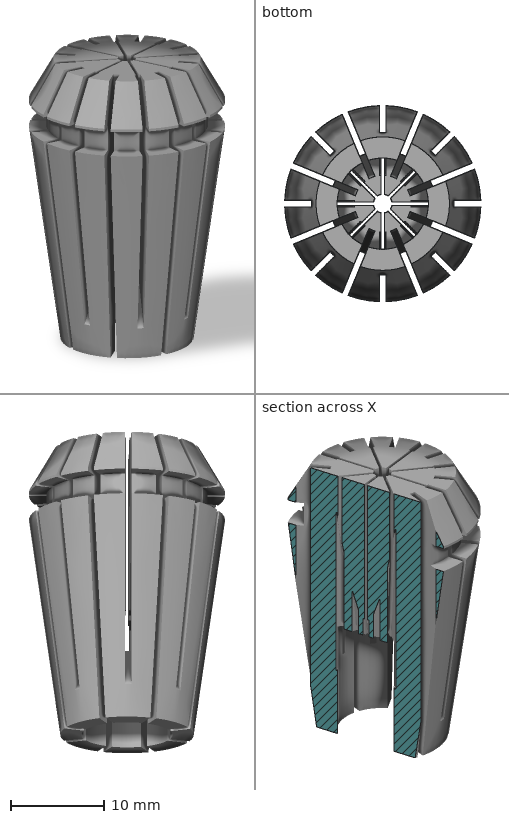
import cadquery as cq
import math


height = 31.5
rim_radius = 21.0 / 2
taper_angle = 8.0
groove_bottom = 23.9
groove_top = 26.65
groove_radius = 8.63
rim_top = 26.93
nose_angle = 30.0

clamping_bore_radius = 2.0 / 2
relief_bore_radius = 4.88
relief_bore_depth = 13.0

slot_pairs = 4
slot_width = 0.7
slit_width = 0.35
slot_inner_radius = 5.65
ledge_bottom = 3.5
ledge_top = 7.95
clearance = 1.58

slot_pitch = 180.0 / slot_pairs
taper_slope = math.tan(math.radians(taper_angle))
nose_slope = math.tan(math.radians(nose_angle))
bottom_radius = rim_radius - groove_bottom * taper_slope
top_radius = rim_radius - (height - rim_top) * nose_slope
cutter_radius = rim_radius + clearance


def revolved(points):
    """Turn an outline of (radius, z) points about the Z axis."""
    return cq.Workplane("XZ").polyline(points).close().revolve(360, (0, 0), (0, 1))


def crossed_slabs(width, length, z_low, first_angle):
    """Upright slabs through the axis, evenly spaced, from z_low to the top face."""
    slab = cq.Workplane("XY").workplane(offset=z_low).rect(length, width).extrude(height - z_low)
    slabs = slab.rotate((0, 0, 0), (0, 0, 1), first_angle)
    for index in range(1, slot_pairs):
        slabs = slabs.union(slab.rotate((0, 0, 0), (0, 0, 1), first_angle + index * slot_pitch))
    return slabs


def slot_end_radius(z):
    """Radius of the slots' inner end, which runs parallel to the outer taper."""
    return slot_inner_radius - (height - z) * taper_slope


def make_body():
    body = revolved([
        (0, 0),
        (bottom_radius, 0),
        (rim_radius, groove_bottom),
        (groove_radius, groove_bottom),
        (groove_radius, groove_top),
        (rim_radius, groove_top),
        (rim_radius, rim_top),
        (top_radius, height),
        (0, height),
    ])
    clamping_bore = cq.Workplane("XY").circle(clamping_bore_radius).extrude(height)
    relief_bore = cq.Workplane("XY").circle(relief_bore_radius).extrude(relief_bore_depth)
    return body.cut(clamping_bore).cut(relief_bore)


def make_open_slots():
    """Wide slots that run the full height of the collet."""
    ring = revolved([
        (slot_end_radius(0), 0),
        (cutter_radius, 0),
        (cutter_radius, height),
        (slot_inner_radius, height),
    ])
    return ring.intersect(crossed_slabs(slot_width, 2 * cutter_radius, 0, slot_pitch / 2))


def make_closed_slots():
    """Wide slots that stop above the small end on a conical ledge."""
    outer_ledge_radius = bottom_radius + ledge_bottom * taper_slope
    ledge_slope = (ledge_top - ledge_bottom) / (outer_ledge_radius - relief_bore_radius)
    ledge_end = ledge_bottom - (cutter_radius - outer_ledge_radius) * ledge_slope
    ring = revolved([
        (slot_end_radius(ledge_top), ledge_top),
        (relief_bore_radius, ledge_top),
        (cutter_radius, ledge_end),
        (cutter_radius, height),
        (slot_inner_radius, height),
    ])
    return ring.intersect(crossed_slabs(slot_width, 2 * cutter_radius, 0, 0))


def make_slits():
    """Narrow slits joining the closed slots to the clamping bore."""
    return crossed_slabs(slit_width, 2 * slot_inner_radius, relief_bore_depth, 0)


result = make_body().cut(make_open_slots()).cut(make_closed_slots()).cut(make_slits())